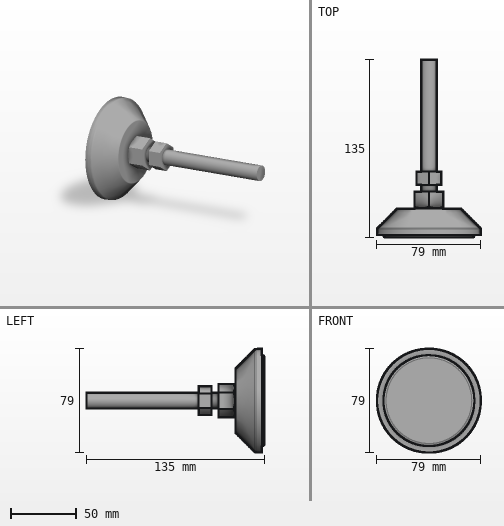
import cadquery as cq
import math


PAD_DIAMETER = 69.0
PAD_FILLET = 2.0

BASE_DIAMETER = 79.0
RIM_TOP_DIAMETER = 78.6
BASE_BOTTOM = 2.0
BASE_TOP = 22.0
RIM_TOP = 7.0
BASE_TOP_DIAMETER = RIM_TOP_DIAMETER - 2 * (BASE_TOP - RIM_TOP)
BASE_TOP_FILLET = 1.0
RIM_FILLET = 1.5
SELECTION_MARGIN = 0.1

HEX_SIDES = 6
OVERALL_LENGTH = 135.0
ROD_DIAMETER = 12.0
ROD_HEX_FLATS = 22.0
ROD_HEX_TOP = 35.0
HEX_CHAMFER_LENGTH = 1.3
HEX_CHAMFER_ANGLE = 30.0
NUT_FLATS = 19.0
NUT_BOTTOM = 40.0
NUT_HEIGHT = 10.0


def plane_at(y):
    """Sketch plane across the axis at height y, with its normal along +Y."""
    return cq.Workplane(cq.Plane(origin=(0, y, 0), xDir=(1, 0, 0), normal=(0, 1, 0)))


def cylinder(diameter, bottom, top):
    return plane_at(bottom).circle(diameter / 2).extrude(top - bottom)


def revolve_about_axis(profile):
    """Full turn about Y of a closed outline of (radius, height) points."""
    return cq.Workplane("XY").polyline(profile).close().revolve(360, (0, 0, 0), (0, 1, 0))


def across_corners(flats):
    return flats / math.cos(math.pi / HEX_SIDES)


def hexagon(flats, bottom, top):
    """Hexagonal prism with two flats facing +X and -X, and corners on +Z and -Z."""
    corner_radius = across_corners(flats) / 2
    angles = [math.pi / HEX_SIDES * (2 * i + 1) for i in range(HEX_SIDES)]
    corners = [(corner_radius * math.cos(a), corner_radius * math.sin(a)) for a in angles]
    return plane_at(bottom).polyline(corners).close().extrude(top - bottom)


def make_pad():
    pad = cylinder(PAD_DIAMETER, 0, BASE_BOTTOM + PAD_FILLET)
    return pad.faces("<Y").edges().fillet(PAD_FILLET)


def make_base():
    profile = [
        (0, BASE_BOTTOM),
        (BASE_DIAMETER / 2, BASE_BOTTOM),
        (RIM_TOP_DIAMETER / 2, RIM_TOP),
        (BASE_TOP_DIAMETER / 2, BASE_TOP),
        (0, BASE_TOP),
    ]
    base = revolve_about_axis(profile)
    base = base.faces(">Y").edges().fillet(BASE_TOP_FILLET)
    rim_edge = cq.selectors.BoxSelector(
        (-BASE_DIAMETER, RIM_TOP - SELECTION_MARGIN, -BASE_DIAMETER),
        (BASE_DIAMETER, RIM_TOP + SELECTION_MARGIN, BASE_DIAMETER),
    )
    return base.edges(rim_edge).fillet(RIM_FILLET)


def make_rod_hex():
    """Hexagon on the rod, with the corners of its lower end turned to a cone."""
    corner_radius = across_corners(ROD_HEX_FLATS) / 2
    cone_depth = HEX_CHAMFER_LENGTH / math.tan(math.radians(HEX_CHAMFER_ANGLE))
    cone_end_radius = corner_radius - cone_depth
    profile = [
        (0, BASE_TOP),
        (cone_end_radius, BASE_TOP),
        (corner_radius, BASE_TOP + HEX_CHAMFER_LENGTH),
        (corner_radius, ROD_HEX_TOP),
        (0, ROD_HEX_TOP),
    ]
    turned = revolve_about_axis(profile)
    return hexagon(ROD_HEX_FLATS, BASE_TOP, ROD_HEX_TOP).intersect(turned)


def make_rod():
    return cylinder(ROD_DIAMETER, BASE_TOP, OVERALL_LENGTH)


def make_nut():
    return hexagon(NUT_FLATS, NUT_BOTTOM, NUT_BOTTOM + NUT_HEIGHT)


result = make_base().union(make_pad()).union(make_rod_hex()).union(make_rod()).union(make_nut())